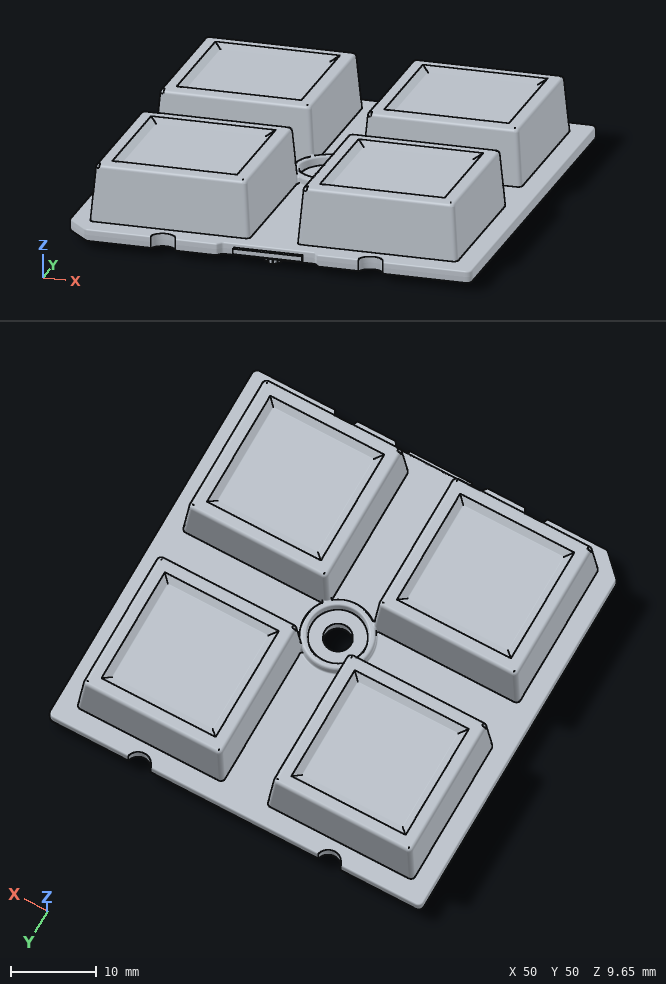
import cadquery as cq

plate_size = 50.0
plate_thickness = 1.6
parting_height = 0.85
plate_draft = 2.0
plate_edge_radius = 0.25
plate_corner_radius = 0.75
key_corner_chamfer = 2.8

recess_inner_half_width = 5.6
recess_mouth_half_width = 6.15
recess_depth = 0.7
recess_corner_radius = 0.3
lip_width = 8.4
lip_bottom = 0.4
lip_top = 1.05
lip_edge_gap = 0.2
lip_root_overlap = 0.5

block_offset = 12.7
block_base = 19.6
block_height = 7.0
block_draft = 4.5
block_corner_radius = 0.55
block_top_radius = 0.5
tray_size = 15.25
tray_depth = 0.55
tray_slope = 59.0
tray_floor_radius = 0.2

notch_radius = 1.5
notch_centre_overhang = 0.25

boss_radius = 4.55
boss_height = 1.05
boss_draft = 5.0
boss_top_radius = 0.4
boss_foot_radius = 0.2
well_floor_radius = 3.5
well_top_radius = 3.65
well_rim_radius = 0.25
hole_diameter = 3.5

pin_length = 1.05
pin_diameter = 1.2
pin_edge_chamfer = 0.1
pin_offset = 22.5
rib_span = 2.0
rib_thickness = 0.4
rib_length = 0.85

half_plate = plate_size / 2
upper_height = plate_thickness - parting_height


def centred_zone(half_x, half_y, bottom, top):
    """Selector for shapes whose centres lie in a box around the Z axis."""
    return cq.selectors.BoxSelector((-half_x, -half_y, bottom), (half_x, half_y, top))


def plate_outline():
    """Plate contour on the parting plane, with the keyed corner and the edge recess."""
    recess_y = recess_depth - half_plate
    outline = (
        cq.Sketch()
        .polygon([
            (key_corner_chamfer - half_plate, -half_plate),
            (-recess_mouth_half_width, -half_plate),
            (-recess_inner_half_width, recess_y),
            (recess_inner_half_width, recess_y),
            (recess_mouth_half_width, -half_plate),
            (half_plate, -half_plate),
            (half_plate, half_plate),
            (-half_plate, half_plate),
            (-half_plate, key_corner_chamfer - half_plate),
            (key_corner_chamfer - half_plate, -half_plate),
        ])
    )
    between_outer_corners = (recess_mouth_half_width + half_plate - key_corner_chamfer) / 2
    recess_corners = centred_zone(between_outer_corners, plate_size, -plate_thickness, plate_thickness)
    all_corners = centred_zone(plate_size, plate_size, -plate_thickness, plate_thickness)
    outline.vertices(all_corners - recess_corners).fillet(plate_corner_radius).reset()
    return outline.vertices(recess_corners).fillet(recess_corner_radius).reset()


def make_plate():
    parting = cq.Workplane("XY", origin=(0, 0, parting_height))
    upper = parting.placeSketch(plate_outline()).extrude(upper_height, taper=plate_draft)
    lower = parting.placeSketch(plate_outline()).extrude(-parting_height, taper=plate_draft)
    upper = upper.faces(">Z").edges().fillet(plate_edge_radius)
    lower = lower.faces("<Z").edges().fillet(plate_edge_radius)
    return upper.union(lower)


def make_lip():
    lip_depth = recess_depth - lip_edge_gap + lip_root_overlap
    lip_y = lip_edge_gap - half_plate + lip_depth / 2
    lip_height = lip_top - lip_bottom
    return (
        cq.Workplane("XY", origin=(0, lip_y, lip_bottom))
        .box(lip_width, lip_depth, lip_height, centered=(True, True, False))
    )


def make_block():
    block = (
        cq.Workplane("XY", origin=(0, 0, plate_thickness))
        .rect(block_base, block_base)
        .extrude(block_height, taper=block_draft)
        .edges("not (|X or |Y)").fillet(block_corner_radius)
        .faces(">Z").edges().fillet(block_top_radius)
    )
    tray = (
        cq.Workplane("XY", origin=(0, 0, plate_thickness + block_height))
        .rect(tray_size, tray_size)
        .extrude(-tray_depth, taper=tray_slope)
        .faces("<Z").edges().fillet(tray_floor_radius)
    )
    return block.cut(tray)


def make_notch_cutter():
    """Half-round cutter, narrowest on the parting plane like the plate's own draft."""
    parting = cq.Workplane("XY", origin=(0, 0, parting_height))
    upper = parting.circle(notch_radius).extrude(upper_height, taper=-plate_draft)
    lower = parting.circle(notch_radius).extrude(-parting_height, taper=-plate_draft)
    return upper.union(lower)


def make_boss():
    """Drafted ring; the plate surface is the floor of its well."""
    ring = cq.Workplane("XY", origin=(0, 0, plate_thickness)).circle(boss_radius)
    ring = ring.extrude(boss_height, taper=boss_draft).faces(">Z").edges().fillet(boss_top_radius)
    well = (
        cq.Workplane("XY", origin=(0, 0, plate_thickness))
        .circle(well_floor_radius)
        .workplane(offset=boss_height)
        .circle(well_top_radius)
        .loft(combine=True)
    )
    ring = ring.cut(well)
    return ring.faces(">Z").edges(cq.selectors.RadiusNthSelector(0)).fillet(well_rim_radius)


def make_pin():
    return (
        cq.Workplane("XY")
        .circle(pin_diameter / 2)
        .extrude(-pin_length)
        .faces("<Z").edges().chamfer(pin_edge_chamfer)
    )


def make_ribbed_pin():
    ribs = (
        cq.Workplane("XY")
        .rect(rib_span, rib_thickness)
        .extrude(-rib_length)
        .union(cq.Workplane("XY").rect(rib_thickness, rib_span).extrude(-rib_length))
    )
    return make_pin().union(ribs)


result = make_plate().union(make_lip()).union(make_boss())

block = make_block()
for side_x in (-1, 1):
    for side_y in (-1, 1):
        result = result.union(block.translate((side_x * block_offset, side_y * block_offset, 0)))

foot_reach = boss_radius + boss_foot_radius
boss_top = plate_thickness + boss_height
foot_bottom = plate_thickness - boss_foot_radius
foot_zone = centred_zone(foot_reach, foot_reach, foot_bottom, boss_top - boss_top_radius)
well_zone = centred_zone(well_top_radius, well_top_radius, 0, boss_top)
foot_edges = result.edges(foot_zone)
wall_on_blocks = foot_edges.edges("%HYPERBOLA")
wall_on_plate = foot_edges.edges(cq.selectors.TypeSelector("CIRCLE") - well_zone)
result = wall_on_plate.add(wall_on_blocks).fillet(boss_foot_radius)

notch_cutter = make_notch_cutter()
notch_y = half_plate + notch_centre_overhang
for side_x in (-1, 1):
    for side_y in (-1, 1):
        result = result.cut(notch_cutter.translate((side_x * block_offset, side_y * notch_y, 0)))

through_hole = cq.Workplane("XY").circle(hole_diameter / 2).extrude(plate_thickness)
result = result.cut(through_hole)

result = result.union(make_pin().translate((0, pin_offset, 0)))
result = result.union(make_ribbed_pin().translate((0, -pin_offset, 0)))